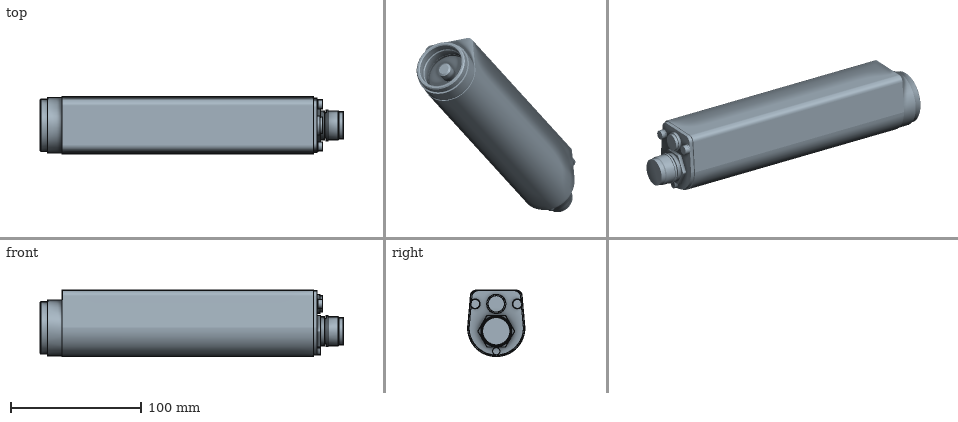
import cadquery as cq
import math


overall_length = 233.3
housing_start = 17.0
housing_end = 210.2
housing_width = 44.0
housing_height = 51.0
housing_radius = housing_width / 2
housing_top = housing_height - housing_radius
top_width = 39.0
top_corner_radius = 4.7

cover_inset = 1.2
cover_top_inset = 0.5
cover_end = 213.0

tube_radius = 21.5
nose_diameter = 40.4
nose_length = 5.8
nose_chamfer = 0.82
bore_radius = 17.3
bore_depth = 7.0
bore_chamfer = 0.7
inner_bore_radius = bore_radius - bore_chamfer
seat_depth = 15.0
seat_radius = 16.3
floor_depth = housing_start

post_radius = 5.4
post_tip_radius = 4.0
post_tip_depth = 6.8
post_taper_length = 1.0

upper_row_z = 18.5
screw_spacing = 32.5
screw_radius = 3.5
screw_head_end = 217.2
washer_radius = 3.7
washer_thickness = 0.7
plug_flange_diameter = 14.7
plug_flange_end = 215.0
plug_radius = 6.3

lower_screw_z = -18.0
lower_screw_radius = 2.8

connector_z = -2.5
flange_end = 215.8
flange_across_flats = 24.5
flange_corner_radius = 1.52
connector_radius = 11.2
groove_start = 218.5
groove_end = 220.0
groove_radius = 9.8
collar_end = 221.5
collar_radius = 12.0
taper_start = 229.0
taper_end = 229.8
tip_radius = 10.5


def at_x(x, y=0.0, z=0.0):
    """Sketch plane facing +X whose local axes are Y and Z."""
    return cq.Workplane("YZ", origin=(x, y, z))


def cylinder(start, end, radius, y=0.0, z=0.0):
    return at_x(start, y, z).circle(radius).extrude(end - start)


def housing_section(start, end, inset=0.0, top_inset=0.0):
    """Length of the housing shape with its outline moved inward by the insets."""
    radius = housing_radius - inset
    half_top = top_width / 2 - inset
    top = housing_top - top_inset
    return (
        at_x(start)
        .moveTo(-radius, 0)
        .threePointArc((0, -radius), (radius, 0))
        .lineTo(half_top, top)
        .lineTo(-half_top, top)
        .close()
        .extrude(end - start)
        .edges("|X and >Z")
        .fillet(top_corner_radius)
    )


def front_tube():
    tube = cylinder(nose_length, housing_start, tube_radius)
    nose = cylinder(0, nose_length, nose_diameter / 2).faces("<X").chamfer(nose_chamfer)
    return tube.union(nose)


def front_bore():
    """Revolved cavity, chamfered at the mouth and at the step, around the central post."""
    step_end = bore_depth + bore_chamfer
    return (
        cq.Workplane("XZ")
        .moveTo(0, 0)
        .lineTo(0, bore_radius + bore_chamfer)
        .lineTo(bore_chamfer, bore_radius)
        .lineTo(bore_depth, bore_radius)
        .lineTo(step_end, inner_bore_radius)
        .lineTo(seat_depth, inner_bore_radius)
        .lineTo(seat_depth, seat_radius)
        .lineTo(floor_depth, seat_radius)
        .lineTo(floor_depth, post_radius)
        .lineTo(post_tip_depth + post_taper_length, post_radius)
        .lineTo(post_tip_depth, post_tip_radius)
        .lineTo(post_tip_depth, 0)
        .close()
        .revolve(360, (0, 0, 0), (1, 0, 0))
    )


def cover_fasteners():
    flange = cylinder(cover_end, plug_flange_end, plug_flange_diameter / 2, z=upper_row_z)
    plug = cylinder(cover_end, screw_head_end, plug_radius, z=upper_row_z)
    lower_screw = cylinder(cover_end, flange_end, lower_screw_radius, z=lower_screw_z)
    fasteners = flange.union(plug).union(lower_screw)
    for y in (-screw_spacing / 2, screw_spacing / 2):
        washer = cylinder(cover_end, cover_end + washer_thickness, washer_radius, y, upper_row_z)
        head = cylinder(cover_end, screw_head_end, screw_radius, y, upper_row_z)
        fasteners = fasteners.union(washer).union(head)
    return fasteners


def connector_flange():
    across_corners = flange_across_flats / math.cos(math.pi / 6)
    return (
        at_x(cover_end, z=connector_z)
        .polygon(6, across_corners)
        .extrude(flange_end - cover_end)
        .edges("|X")
        .fillet(flange_corner_radius)
    )


def connector_body():
    taper = (
        at_x(taper_start, z=connector_z)
        .circle(connector_radius)
        .workplane(offset=taper_end - taper_start)
        .circle(tip_radius)
        .loft()
    )
    return (
        cylinder(flange_end, groove_start, connector_radius, z=connector_z)
        .union(cylinder(groove_start, groove_end, groove_radius, z=connector_z))
        .union(cylinder(groove_end, collar_end, collar_radius, z=connector_z))
        .union(cylinder(collar_end, taper_start, connector_radius, z=connector_z))
        .union(taper)
        .union(cylinder(taper_end, overall_length, tip_radius, z=connector_z))
    )


result = (
    housing_section(housing_start, housing_end)
    .union(housing_section(housing_end, cover_end, cover_inset, cover_top_inset))
    .union(front_tube())
    .cut(front_bore())
    .union(cover_fasteners())
    .union(connector_flange())
    .union(connector_body())
)